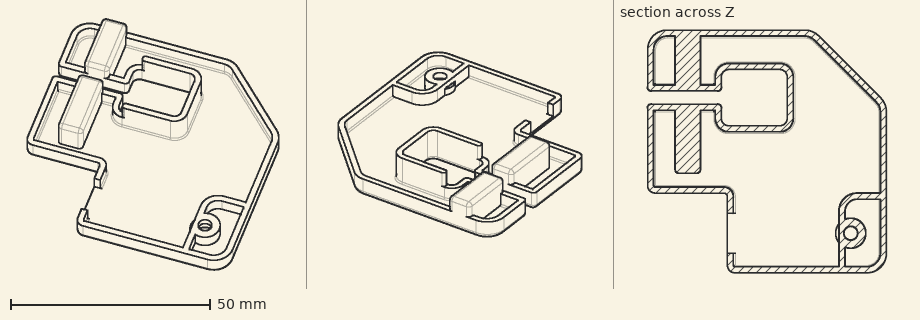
import cadquery as cq
LENGTH = 60.0
WIDTH = 61.0
RIM_HEIGHT = 5.0
TOP_HEIGHT = 9.0
WALL = 1.6
FLOOR = 1.6
BOTTOM_ROUND = 1.4
FOOT_ROUND = 0.4

NOTCH_X = 20.0
NOTCH_Y = 20.0
BEVEL_X = 41.5
BEVEL_Y = 42.5
LARGE_CORNER = 5.0
SMALL_CORNER = 2.0
NOTCH_CORNER = 0.8
SLOT_CORNER = 1.0

WINDOW_LEFT = 18.6
WINDOW_RIGHT = 35.0
WINDOW_SIZE_Y = 14.0
WINDOW_CORNER = 1.8
SLOT_CENTER_Y = 44.0
SLOT_WIDTH = 3.2
COLLAR_START_X = WINDOW_LEFT + WINDOW_CORNER
COLLAR_END_ROUND = 0.7
SLOT_LOW = SLOT_CENTER_Y - SLOT_WIDTH / 2
SLOT_HIGH = SLOT_CENTER_Y + SLOT_WIDTH / 2
WINDOW_LOW = SLOT_CENTER_Y - WINDOW_SIZE_Y / 2
WINDOW_HIGH = SLOT_CENTER_Y + WINDOW_SIZE_Y / 2

BLOCK_LEFT = 6.93
BLOCK_WIDTH = 6.4
BLOCK_ROUND = 1.0
FRONT_BLOCK_START_Y = 25.0

GAP_START_Y = 5.0
GAP_END_Y = 15.0

SCREW_X = 51.0
SCREW_Y = 10.0
SCREW_HOLE_DIAMETER = 3.4
SCREW_HEAD_DIAMETER = 6.0
BOSS_WALL = 0.8
BOSS_DIAMETER = SCREW_HEAD_DIAMETER + 2 * BOSS_WALL
SCREW_HEAD_TOP = RIM_HEIGHT - WALL
RIB_LEFT = SCREW_X - SCREW_HEAD_DIAMETER / 2
RIB_TOP = 20.1
RIB_INNER_CORNER = 3.0


def box(x_min, x_max, y_min, y_max, z_min, z_max):
    """Axis-aligned box given by its limits."""
    return (
        cq.Workplane("XY")
        .box(x_max - x_min, y_max - y_min, z_max - z_min, centered=False)
        .translate((x_min, y_min, z_min))
    )


def cylinder(diameter, z_min, z_max):
    """Upright cylinder on the screw axis."""
    return (
        cq.Workplane("XY", origin=(SCREW_X, SCREW_Y, z_min))
        .circle(diameter / 2)
        .extrude(z_max - z_min)
    )


def outline_prism():
    """Tray outline at full height, with all its upright corners rounded."""
    corners = [
        (0, NOTCH_Y, SMALL_CORNER),
        (NOTCH_X, NOTCH_Y, NOTCH_CORNER),
        (NOTCH_X, 0, SMALL_CORNER),
        (LENGTH, 0, LARGE_CORNER),
        (LENGTH, BEVEL_Y, LARGE_CORNER),
        (BEVEL_X, WIDTH, LARGE_CORNER),
        (0, WIDTH, LARGE_CORNER),
        (0, SLOT_HIGH, SLOT_CORNER),
        (WINDOW_LEFT, SLOT_HIGH, SLOT_CORNER),
        (WINDOW_LEFT, WINDOW_HIGH, WINDOW_CORNER),
        (WINDOW_RIGHT, WINDOW_HIGH, WINDOW_CORNER),
        (WINDOW_RIGHT, WINDOW_LOW, WINDOW_CORNER),
        (WINDOW_LEFT, WINDOW_LOW, WINDOW_CORNER),
        (WINDOW_LEFT, SLOT_LOW, SLOT_CORNER),
        (0, SLOT_LOW, SLOT_CORNER),
    ]
    points = [(x, y) for x, y, _ in corners]
    prism = cq.Workplane("XY").polyline(points).close().extrude(TOP_HEIGHT)
    for x, y, radius in corners:
        corner_edge = cq.selectors.NearestToPointSelector((x, y, TOP_HEIGHT / 2))
        prism = prism.edges("|Z").edges(corner_edge).fillet(radius)
    return prism


def tray():
    """Floor and wall at full height, rounded underneath and along the inner foot."""
    prism = outline_prism()
    cavity = (
        prism.faces(">Z").wires().toPending()
        .offset2D(-WALL)
        .extrude(FLOOR - TOP_HEIGHT, combine=False)
        .faces("<Z").edges().fillet(FOOT_ROUND)
    )
    return prism.faces("<Z").edges().fillet(BOTTOM_ROUND).cut(cavity)


def above_rim():
    """Space to clear above the rim, leaving only the tall collar round the window."""
    above = (RIM_HEIGHT, TOP_HEIGHT)
    around = box(COLLAR_START_X, WINDOW_RIGHT + WALL, WINDOW_LOW - WALL, WINDOW_HIGH + WALL, *above)
    between_arms = box(COLLAR_START_X, WINDOW_RIGHT - WINDOW_CORNER, WINDOW_LOW, WINDOW_HIGH, *above)
    kept = around.cut(between_arms).faces("<X").edges("|Z").fillet(COLLAR_END_ROUND)
    return box(0, LENGTH, 0, WIDTH, *above).cut(kept)


def block(y_min, y_max):
    """Rounded block standing on the floor."""
    plain = box(BLOCK_LEFT, BLOCK_LEFT + BLOCK_WIDTH, y_min, y_max, FLOOR, TOP_HEIGHT)
    return plain.edges("|Z or >Z").fillet(BLOCK_ROUND)


def rib():
    """Curved rib that closes off the screw corner."""
    rib_height = (FLOOR, RIM_HEIGHT)
    outer = box(RIB_LEFT, LENGTH - WALL, WALL, RIB_TOP, *rib_height)
    inner = box(RIB_LEFT + WALL, LENGTH - WALL, WALL, RIB_TOP - WALL, *rib_height)
    outer = outer.edges("|Z and <X and >Y").fillet(RIB_INNER_CORNER + WALL)
    inner = inner.edges("|Z and <X and >Y").fillet(RIB_INNER_CORNER)
    return outer.cut(inner)


def boss():
    """Screw boss: rim height inside the rib, lower where it shows outside."""
    tall = cylinder(BOSS_DIAMETER, FLOOR, RIM_HEIGHT)
    outside = box(0, RIB_LEFT, 0, WIDTH, SCREW_HEAD_TOP, RIM_HEIGHT)
    return tall.cut(outside)


gap = box(NOTCH_X, NOTCH_X + 2 * WALL, GAP_START_Y, GAP_END_Y, FLOOR, RIM_HEIGHT)
result = tray().cut(above_rim())
result = result.cut(gap)
result = result.union(rib()).union(boss())
result = result.union(block(FRONT_BLOCK_START_Y, SLOT_LOW)).union(block(SLOT_HIGH, WIDTH))
result = result.cut(cylinder(SCREW_HOLE_DIAMETER, 0, RIM_HEIGHT))
result = result.cut(cylinder(SCREW_HEAD_DIAMETER, 0, SCREW_HEAD_TOP))